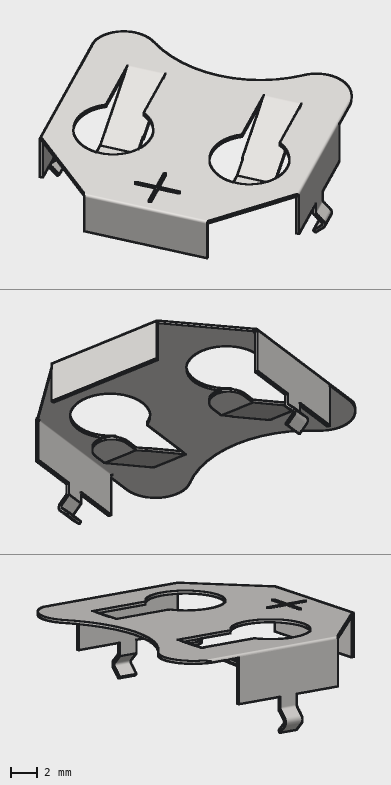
import cadquery as cq
import math

sheet = 0.25
bend_outer = 0.2
bend_inner = 0.1

half_width = 10.55
length = 20.05
diagonal_start_x = 5.05
lobe_radius = 2.7
notch_floor_y = 17.21

front_half_width = 5.0
side_wall_front_y = 5.55
side_wall_back_y = 14.98
side_wall_depth = 3.93
front_wall_depth = 3.57

hole_x = 5.53
hole_y = 8.34
hole_radius = 3.07
slot_width = 3.07
slot_back_y = 16.13
spring_root_y = 16.0
spring_root_radius = 0.35
spring_bend_y = 9.65
spring_tip_y = 7.1
spring_drop = 3.0
spring_tip_width = 3.0

clip_front_y = 9.49
clip_width = 1.58
clip_reach_x = 11.3
clip_bend_radius = 0.45
clip_upper_radius = 0.23
clip_bend_z = -4.88
clip_bottom_z = -6.8

plus_y = 2.75
plus_length = 3.65
plus_width = 0.2
plus_depth = 0.07


def box(x_range, y_range, z_range):
    """Box from its low and high limits on each axis."""
    ranges = (x_range, y_range, z_range)
    sizes = [high - low for low, high in ranges]
    corner = tuple(low for low, high in ranges)
    return cq.Workplane("XY").box(*sizes, centered=False).translate(corner)


def mirrored_pair(body):
    return body.union(body.mirror("YZ"))


def plate_blank():
    """Plan outline of the sheet: front corners cut at 45 degrees, two round lobes at the back."""
    lobe_x = half_width - lobe_radius
    lobe_y = length - lobe_radius
    rise = lobe_y - notch_floor_y
    notch_radius = (lobe_x**2 + rise**2 - lobe_radius**2) / (2 * (lobe_radius + rise))
    notch_center_y = notch_floor_y + notch_radius
    share = lobe_radius / (lobe_radius + notch_radius)
    tangent_x = lobe_x * (1 - share)
    tangent_y = lobe_y + share * (notch_center_y - lobe_y)
    flat_half_width = half_width - bend_outer
    diagonal_end_y = bend_outer + flat_half_width - diagonal_start_x
    return (
        cq.Workplane("XY")
        .moveTo(-front_half_width, 0)
        .lineTo(front_half_width, 0)
        .lineTo(diagonal_start_x, bend_outer)
        .lineTo(flat_half_width, diagonal_end_y)
        .lineTo(half_width, side_wall_front_y)
        .lineTo(half_width, lobe_y)
        .threePointArc((lobe_x, length), (tangent_x, tangent_y))
        .threePointArc((0, notch_floor_y), (-tangent_x, tangent_y))
        .threePointArc((-lobe_x, length), (-half_width, lobe_y))
        .lineTo(-half_width, side_wall_front_y)
        .lineTo(-flat_half_width, diagonal_end_y)
        .lineTo(-diagonal_start_x, bend_outer)
        .close()
        .extrude(-sheet)
    )


def plate():
    """Flat plate whose side and front edges are rounded where the sheet is bent."""
    slab = box((-half_width, half_width), (0, length), (-sheet, 0))
    slab = slab.faces(">Z").edges("<X or >X or <Y").fillet(bend_outer)
    return slab.intersect(plate_blank())


def side_wall():
    """Wall with a small concave fillet below the plate."""
    inner_x = half_width - sheet
    wall_y = (side_wall_front_y, side_wall_back_y)
    wall = box((inner_x, half_width), wall_y, (-side_wall_depth, -sheet))
    fillet_bar = (
        cq.Workplane("XZ", origin=(0, side_wall_front_y, 0))
        .moveTo(inner_x, -sheet)
        .lineTo(inner_x - bend_inner, -sheet)
        .radiusArc((inner_x, -sheet - bend_inner), bend_inner)
        .close()
        .extrude(side_wall_front_y - side_wall_back_y)
    )
    return wall.union(fillet_bar)


def front_wall():
    return box((-front_half_width, front_half_width), (0, sheet), (-front_wall_depth, -sheet))


def clip():
    """Strip that runs down from the side wall, out at 45 degrees and back in at 45 degrees."""
    inner_radius = clip_bend_radius - sheet
    inner_x = half_width - sheet
    mitre = sheet * math.tan(math.radians(22.5))
    diagonal = math.sqrt(0.5)
    center_x = clip_reach_x - clip_bend_radius
    center_z = clip_bend_z + (half_width - center_x) - clip_bend_radius * math.sqrt(2)

    def on_arc(radius, side):
        return center_x + radius * diagonal, center_z + side * radius * diagonal

    outer_low_x, outer_low_z = on_arc(clip_bend_radius, -1)
    tip_x = outer_low_x - (outer_low_z - clip_bottom_z)
    tip_step = sheet * diagonal
    strip = (
        cq.Workplane("XZ", origin=(0, clip_front_y, 0))
        .moveTo(inner_x, -side_wall_depth)
        .lineTo(half_width, -side_wall_depth)
        .lineTo(half_width, clip_bend_z)
        .lineTo(*on_arc(clip_bend_radius, 1))
        .threePointArc((clip_reach_x, center_z), (outer_low_x, outer_low_z))
        .lineTo(tip_x, clip_bottom_z)
        .lineTo(tip_x - tip_step, clip_bottom_z + tip_step)
        .lineTo(*on_arc(inner_radius, -1))
        .threePointArc((center_x + inner_radius, center_z), on_arc(inner_radius, 1))
        .lineTo(inner_x, clip_bend_z - mitre)
        .close()
        .extrude(-clip_width)
    )
    upper_bend = (half_width, clip_front_y + clip_width / 2, clip_bend_z)
    return strip.edges(cq.NearestToPointSelector(upper_bend)).fillet(clip_upper_radius)


def spring_opening():
    """Round hole with a slot towards the back, from which the spring is cut."""
    hole = cq.Workplane("XY").center(hole_x, hole_y).circle(hole_radius).extrude(-sheet)
    half_slot = slot_width / 2
    slot = box((hole_x - half_slot, hole_x + half_slot), (hole_y, slot_back_y), (-sheet, 0))
    return hole.union(slot)


def spring():
    """Tongue that slopes down from the back of the slot and ends in a level round tip."""
    slope = math.atan2(spring_drop, spring_root_y - spring_bend_y)
    mitre = sheet * math.tan(slope / 2)
    inner_x = hole_x - slot_width / 2
    outer_x = hole_x + slot_width / 2
    band = (
        cq.Workplane("YZ", origin=(inner_x, 0, 0))
        .moveTo(slot_back_y, 0)
        .lineTo(spring_root_y, 0)
        .lineTo(spring_bend_y, -spring_drop)
        .lineTo(spring_tip_y, -spring_drop)
        .lineTo(spring_tip_y, -spring_drop - sheet)
        .lineTo(spring_bend_y + mitre, -spring_drop - sheet)
        .lineTo(spring_root_y + mitre, -sheet)
        .lineTo(slot_back_y, -sheet)
        .close()
        .extrude(slot_width)
    )
    root_edge = cq.NearestToPointSelector((hole_x, spring_root_y, 0))
    band = band.edges(root_edge).fillet(spring_root_radius)
    shoulder_y = hole_y + math.sqrt(hole_radius**2 - (slot_width / 2) ** 2)
    tip_radius = spring_tip_width / 2
    tip_inner_x = outer_x - spring_tip_width
    tip_center_y = spring_tip_y + tip_radius
    plan = (
        cq.Workplane("XY")
        .moveTo(inner_x, slot_back_y)
        .lineTo(inner_x, shoulder_y)
        .lineTo(tip_inner_x, shoulder_y)
        .lineTo(tip_inner_x, tip_center_y)
        .threePointArc((outer_x - tip_radius, spring_tip_y), (outer_x, tip_center_y))
        .lineTo(outer_x, slot_back_y)
        .close()
        .extrude(-spring_drop - 2 * sheet)
    )
    return band.intersect(plan)


def plus_groove():
    arms = cq.Workplane("XY").center(0, plus_y)
    across = arms.slot2D(plus_length, plus_width).extrude(-plus_depth)
    along = arms.slot2D(plus_length, plus_width, 90).extrude(-plus_depth)
    return across.union(along)


result = (
    plate()
    .cut(mirrored_pair(spring_opening()))
    .cut(plus_groove())
    .union(mirrored_pair(spring()))
    .union(mirrored_pair(side_wall().union(clip())))
    .union(front_wall())
)